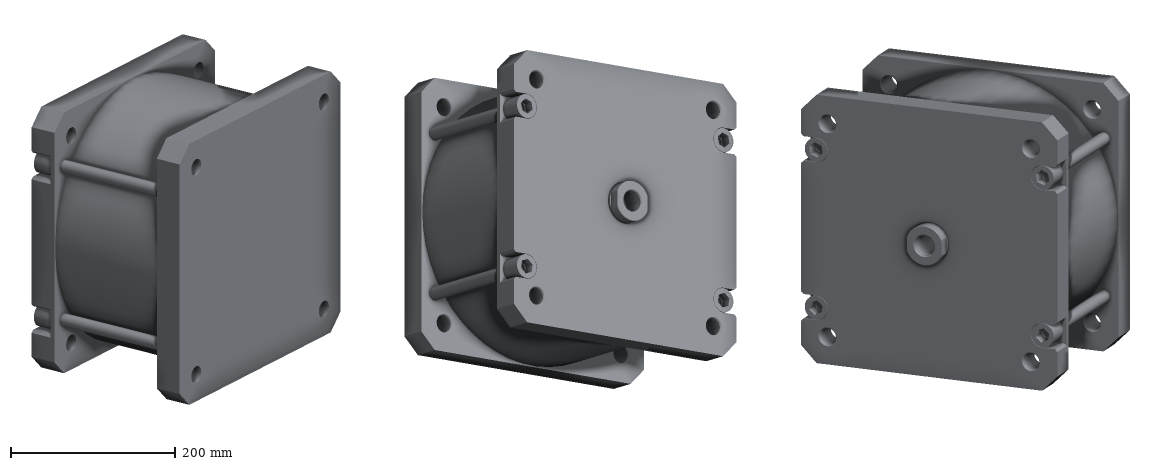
import cadquery as cq
import math

plate_side = 340.0
plate_thickness = 34.0
plate_corner_chamfer = 20.5

housing_diameter = 337.0
housing_length = 152.0

mount_hole_diameter = 21.0
mount_hole_offset = 135.0
hole_edge_chamfer = 1.5

shaft_diameter = 50.0
shaft_projection = 15.0
shaft_flat_length = 13.0
shaft_across_flats = 46.0
shaft_edge_chamfer = 0.7
shaft_bore_diameter = 26.0
shaft_bore_depth = 30.5
drill_point_angle = 118.0

bolt_offset_y = 150.3
bolt_offset_z = 100.0
bolt_head_diameter = 30.0
bolt_head_length = 28.2
bolt_shank_diameter = 16.3
bolt_engagement = 20.5
socket_across_flats = 16.3
socket_depth = 13.5
socket_turn = 20.0
socket_pilot_diameter = 14.0
socket_pilot_depth = 17.0
slot_width = 31.0
slot_mouth_chamfer = 3.0

front_plate_back = plate_thickness
rear_plate_front = front_plate_back + housing_length
bolt_end = rear_plate_front + bolt_engagement
half_side = plate_side / 2
bolt_centres = [(y * bolt_offset_y, z * bolt_offset_z) for y in (-1, 1) for z in (-1, 1)]


def rod(diameter, x_start, x_end, y=0, z=0):
    """Cylinder parallel to the X axis."""
    return (
        cq.Workplane("YZ", origin=(x_start, y, z))
        .circle(diameter / 2)
        .extrude(x_end - x_start)
    )


def countersink(hole_diameter, chamfer, x_face, y=0, z=0):
    """Cutter for the 45-degree chamfer of a hole that opens on a face toward -X."""
    return (
        cq.Workplane("YZ", origin=(x_face, y, z))
        .circle(hole_diameter / 2 + chamfer)
        .workplane(offset=chamfer)
        .circle(hole_diameter / 2)
        .loft()
    )


def make_plate(x_front):
    """Square plate with cut corners and four mounting holes, chamfered on the -X side."""
    plate = (
        cq.Workplane("YZ", origin=(x_front, 0, 0))
        .rect(plate_side, plate_side)
        .extrude(plate_thickness)
        .edges("|X")
        .chamfer(plate_corner_chamfer)
    )
    for y in (-mount_hole_offset, mount_hole_offset):
        for z in (-mount_hole_offset, mount_hole_offset):
            plate = plate.cut(rod(mount_hole_diameter, x_front, x_front + plate_thickness, y, z))
            plate = plate.cut(countersink(mount_hole_diameter, hole_edge_chamfer, x_front, y, z))
    return plate


def make_head_slot(y, z):
    """Cutter for a bolt head slot: round inside, open at the nearer plate side, with a chamfered mouth."""
    side = math.copysign(1, y)
    edge = side * half_side
    half_slot = slot_width / 2
    half_mouth = half_slot + slot_mouth_chamfer
    mouth_start = edge - side * slot_mouth_chamfer
    return (
        cq.Workplane("YZ")
        .moveTo(y, z + half_slot)
        .lineTo(mouth_start, z + half_slot)
        .lineTo(edge, z + half_mouth)
        .lineTo(edge, z - half_mouth)
        .lineTo(mouth_start, z - half_slot)
        .lineTo(y, z - half_slot)
        .threePointArc((y - side * half_slot, z), (y, z + half_slot))
        .close()
        .extrude(bolt_head_length)
    )


def make_front_plate():
    """Plate with the shaft hole, and a slot and shank hole for each tie bolt."""
    plate = make_plate(0)
    plate = plate.cut(rod(shaft_diameter, 0, front_plate_back))
    plate = plate.cut(countersink(shaft_diameter, hole_edge_chamfer, 0))
    for y, z in bolt_centres:
        plate = plate.cut(make_head_slot(y, z))
        plate = plate.cut(rod(bolt_shank_diameter, 0, front_plate_back, y, z))
    return plate


def make_rear_plate():
    """Plate with a blind hole for the end of each tie bolt."""
    plate = make_plate(rear_plate_front)
    for y, z in bolt_centres:
        plate = plate.cut(rod(bolt_shank_diameter, rear_plate_front, bolt_end, y, z))
    return plate


def make_housing():
    """Plain cylinder clamped between the plates."""
    return rod(housing_diameter, front_plate_back, rear_plate_front)


def make_shaft():
    """Shaft stub with two flats on its free end and a drilled blind bore."""
    tip = -shaft_projection
    shaft = rod(shaft_diameter, tip, front_plate_back).faces("<X").chamfer(shaft_edge_chamfer)

    flats = (
        cq.Workplane("YZ", origin=(tip, 0, 0))
        .rect(2 * shaft_diameter, 2 * shaft_diameter)
        .rect(shaft_across_flats, 2 * shaft_diameter)
        .extrude(shaft_flat_length)
    )
    shaft = shaft.cut(flats)

    bore_radius = shaft_bore_diameter / 2
    bore_end = tip + shaft_bore_depth
    point_length = bore_radius / math.tan(math.radians(drill_point_angle / 2))
    bore = (
        cq.Workplane("XY")
        .moveTo(tip, 0)
        .lineTo(tip, bore_radius + hole_edge_chamfer)
        .lineTo(tip + hole_edge_chamfer, bore_radius)
        .lineTo(bore_end, bore_radius)
        .lineTo(bore_end + point_length, 0)
        .close()
        .revolve(360, (0, 0, 0), (1, 0, 0))
    )
    return shaft.cut(bore)


def make_tie_bolt(y, z):
    """Socket head bolt, its head flush with the front plate; upper and lower sockets turn opposite ways."""
    head = rod(bolt_head_diameter, 0, bolt_head_length, y, z)
    shank = rod(bolt_shank_diameter, bolt_head_length, bolt_end, y, z)
    socket_across_corners = socket_across_flats / math.cos(math.pi / 6)
    socket = (
        cq.Workplane("YZ", origin=(0, y, z))
        .transformed(rotate=(0, 0, math.copysign(socket_turn, z)))
        .polygon(6, socket_across_corners)
        .extrude(socket_depth)
    )
    pilot = rod(socket_pilot_diameter, 0, socket_pilot_depth, y, z)
    return head.union(shank).cut(socket).cut(pilot)


front_plate = make_front_plate()
rear_plate = make_rear_plate()
housing = make_housing()
shaft = make_shaft()
tie_bolts = [make_tie_bolt(y, z) for y, z in bolt_centres]

result = cq.Compound.makeCompound(
    [front_plate.val(), rear_plate.val(), housing.val(), shaft.val()] + [bolt.val() for bolt in tie_bolts]
)